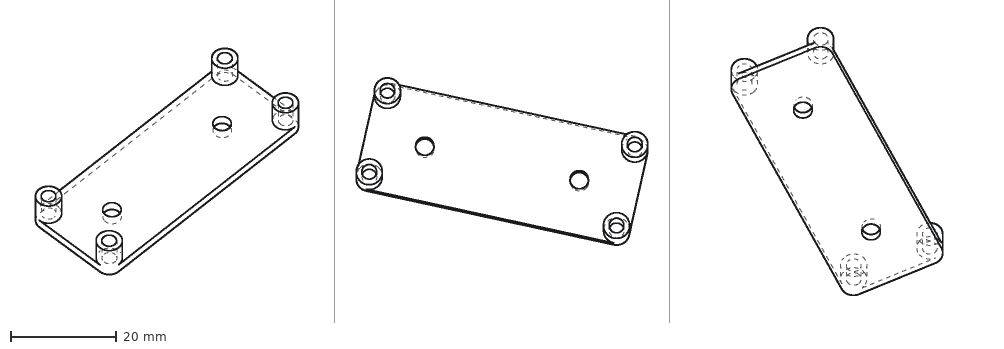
import cadquery as cq

width = 21.0
length = 53.0
height = 7.0

plate_thickness = 2.0
mount_hole_diameter = 3.5
mount_hole_spacing = 30.0

post_diameter = 5.0
post_hole_diameter = 2.8
post_spacing_x = width - post_diameter
post_spacing_y = length - post_diameter
post_hole_depth = height - plate_thickness


def make_plate():
    """Plate with two through holes; its corners are left open for the posts."""
    plate = (
        cq.Workplane("XY")
        .rect(post_spacing_x, length)
        .extrude(plate_thickness)
        .union(cq.Workplane("XY").rect(width, post_spacing_y).extrude(plate_thickness))
    )
    holes = (
        cq.Workplane("XY")
        .rarray(0.55, mount_hole_spacing, 1, 2)
        .circle(mount_hole_diameter / 2)
        .extrude(plate_thickness)
    )
    return plate.cut(holes)


def make_corner_cylinders(diameter, depth):
    """Four cylinders reaching down from the post tops, one at each corner."""
    return (
        cq.Workplane("XY")
        .workplane(offset=height)
        .rarray(post_spacing_x, post_spacing_y, 2, 2)
        .circle(diameter / 2)
        .extrude(-depth)
    )


posts = make_corner_cylinders(post_diameter, height)
post_holes = make_corner_cylinders(post_hole_diameter, post_hole_depth)
result = make_plate().union(posts).cut(post_holes)